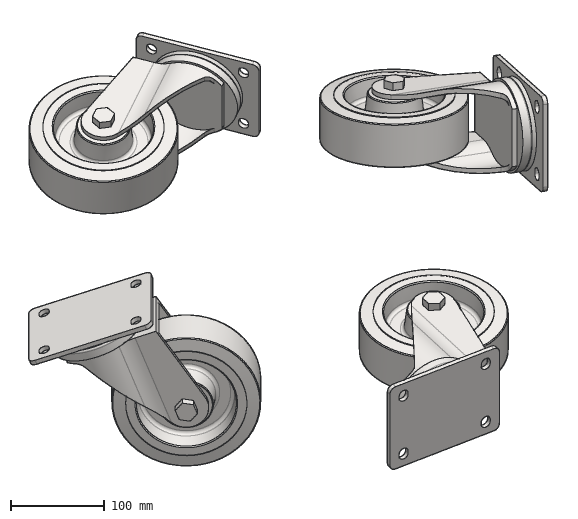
import cadquery as cq
import math


overall_length = 215.0
plate_length = 140.0
plate_width = 110.0
plate_thickness = 5.4
plate_top = 122.1
plate_corner_radius = 7.3
slot_width = 11.5
slot_length = 14.0
slot_spacing_x = 105.0
slot_spacing_z = 77.6

wheel_radius = 160.0 / 2
rim_radius = 130.0 / 2
rim_half_width = 27.7
rim_step = 1.0
tread_half_width = 25.2
tread_edge = 1.0
pocket_radius = 55.0
pocket_lip = 1.3
pocket_floor_radius = 51.5
pocket_fillet = 4.3
web_half_thickness = 4.3
hub_base_radius = 32.0
hub_radius = 29.0
hub_half_width = 30.0
hub_chamfer = 1.0

swivel_x = overall_length - wheel_radius - plate_length / 2
race_radius = 103.0 / 2
race_bottom = 100.8
race_top = 112.5
race_edge = 2.2
neck_radius = 49.2

fork_thickness = 5.4
fork_base_thickness = 5.8
leg_outer = 36.8
leg_end_radius = 24.0
leg_rear_x = -2.5
leg_slope_angle = 58.8
leg_corner_radius = 10.8
bend_start_x = 21.3
crown_radius = 48.8
base_front_x = 100.8

spacer_radius = 20.0 / 2
bolt_across_flats = 20.9
bolt_end = 45.8

plate_bottom = plate_top - plate_thickness
base_bottom = race_bottom - fork_base_thickness


def upright_plane(y):
    """Plane at height y: local axes are X and Z, extrusion goes toward -Y."""
    return cq.Workplane("XZ", origin=(0, y, 0))


def make_plate():
    plate = (
        upright_plane(plate_top).center(swivel_x, 0)
        .rect(plate_length, plate_width).extrude(plate_thickness)
        .edges("|Y").fillet(plate_corner_radius)
    )
    slots = (
        upright_plane(plate_top).center(swivel_x, 0)
        .rarray(slot_spacing_x, slot_spacing_z, 2, 2)
        .slot2D(slot_length, slot_width, 90).extrude(plate_thickness)
    )
    return plate.cut(slots)


def make_race():
    arc_drop = race_edge * (1 - math.sqrt(0.5))
    arc_middle_x = race_radius - arc_drop
    arc_middle_y = race_top - arc_drop
    profile = (
        cq.Workplane("XY", origin=(swivel_x, 0, 0))
        .moveTo(0, race_bottom)
        .lineTo(race_radius, race_bottom)
        .lineTo(race_radius, race_top - race_edge)
        .threePointArc((arc_middle_x, arc_middle_y), (race_radius - race_edge, race_top))
        .lineTo(neck_radius, race_top)
        .lineTo(race_radius, plate_bottom)
        .lineTo(0, plate_bottom)
        .close()
    )
    return profile.revolve(360, (0, 0, 0), (0, 1, 0))


def fork_footprint(offset):
    """Symmetric footprint lying offset inside the fork's outer surface.

    Straight sides run into a concave bend that is tangent to the crown circle.
    """
    side = leg_outer - offset
    crown = crown_radius - offset
    reach = swivel_x - bend_start_x
    bend = (reach**2 + side**2 - crown**2) / (2 * (crown - side))
    bend_center_z = side + bend
    ratio = crown / (crown + bend)
    tangent = (swivel_x - reach * ratio, bend_center_z * ratio)
    half_sweep = math.asin(reach / (crown + bend)) / 2
    bend_middle = (
        bend_start_x + bend * math.sin(half_sweep),
        bend_center_z - bend * math.cos(half_sweep),
    )
    rear_x = -2 * leg_end_radius
    return (
        upright_plane(race_bottom)
        .moveTo(rear_x, -side)
        .lineTo(bend_start_x, -side)
        .threePointArc((bend_middle[0], -bend_middle[1]), (tangent[0], -tangent[1]))
        .threePointArc((swivel_x + crown, 0), tangent)
        .threePointArc(bend_middle, (bend_start_x, side))
        .lineTo(rear_x, side)
        .close()
        .extrude(race_bottom + leg_end_radius)
    )


def make_fork():
    rear_angle = math.atan2(race_bottom, leg_rear_x) + math.acos(
        leg_end_radius / math.hypot(leg_rear_x, race_bottom)
    )
    slope = math.radians(leg_slope_angle)
    front_angle = slope - math.pi / 2
    end_rear = (leg_end_radius * math.cos(rear_angle), leg_end_radius * math.sin(rear_angle))
    end_front = (leg_end_radius * math.cos(front_angle), leg_end_radius * math.sin(front_angle))
    corner_x = end_front[0] + (base_bottom - end_front[1]) / math.tan(slope)
    side_shape = (
        cq.Workplane("XY")
        .moveTo(leg_rear_x, race_bottom)
        .lineTo(*end_rear)
        .threePointArc((0, -leg_end_radius), end_front)
        .lineTo(corner_x, base_bottom)
        .lineTo(base_front_x, base_bottom)
        .lineTo(base_front_x, race_bottom)
        .close()
        .extrude(crown_radius, both=True)
        .edges(cq.selectors.NearestToPointSelector((corner_x, base_bottom, 0)))
        .fillet(leg_corner_radius)
    )
    below_base = (
        upright_plane(base_bottom)
        .rect(4 * base_front_x, 4 * crown_radius)
        .extrude(race_bottom + leg_end_radius)
    )
    interior = fork_footprint(fork_thickness).intersect(below_base)
    return fork_footprint(0).cut(interior).intersect(side_shape)


def make_wheel():
    """Wheel half above Z = 0, revolved and mirrored."""
    half = (
        cq.Workplane("XZ")
        .lineTo(wheel_radius, 0)
        .lineTo(wheel_radius, tread_half_width - tread_edge)
        .lineTo(wheel_radius - tread_edge, tread_half_width)
        .lineTo(rim_radius, rim_half_width - rim_step)
        .lineTo(rim_radius, rim_half_width)
        .lineTo(pocket_radius, rim_half_width)
        .lineTo(pocket_radius - pocket_lip, rim_half_width - pocket_lip)
        .lineTo(pocket_floor_radius, web_half_thickness)
        .lineTo(hub_base_radius, web_half_thickness)
        .lineTo(hub_radius, hub_half_width - hub_chamfer)
        .lineTo(hub_radius - hub_chamfer, hub_half_width)
        .lineTo(0, hub_half_width)
        .close()
        .revolve(360, (0, 0, 0), (0, 1, 0))
    )
    tolerance = 0.002
    for radius in (pocket_floor_radius, hub_base_radius):
        floor_edges = half.edges("%CIRCLE").filter(
            lambda edge: abs(edge.Center().z - web_half_thickness) < tolerance
            and abs(edge.radius() - radius) < tolerance
        )
        half = floor_edges.fillet(pocket_fillet)
    return half.union(half.mirror("XY"))


def make_axle():
    axle = cq.Workplane("XY").circle(spacer_radius).extrude(leg_outer, both=True)
    bolt_across_corners = bolt_across_flats / math.cos(math.pi / 6)
    for direction in (1, -1):
        head = (
            cq.Workplane("XY", origin=(0, 0, direction * leg_outer))
            .transformed(rotate=(0, 0, 30))
            .polygon(6, bolt_across_corners)
            .extrude(direction * (bolt_end - leg_outer))
        )
        axle = axle.union(head)
    return axle


result = make_plate().union(make_race()).union(make_fork()).union(make_wheel()).union(make_axle())